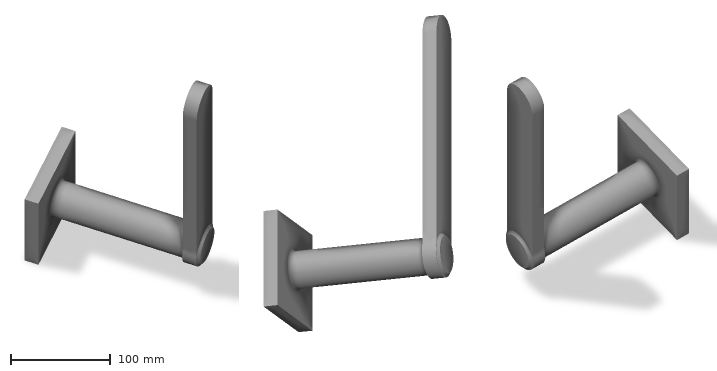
import cadquery as cq
import math

total_height = 300.0

plate_side = 100.0
plate_thickness = 15.0

post_diameter = 38.0
post_length = 145.0
post_base_fillet = 3.0
post_arm_fillet = 4.0

arm_width = 42.3
arm_thickness = 15.0
eye_margin = 1.85
neck_radius = 20.0
cap_height = 3.0

post_radius = post_diameter / 2
arm_half = arm_width / 2
eye_radius = arm_half + eye_margin
arm_top = total_height - plate_side / 2
arm_start = plate_thickness + post_length
arm_end = arm_start + arm_thickness


def make_plate():
    return cq.Workplane("YZ").rect(plate_side, plate_side).extrude(plate_thickness)


def make_post():
    """Post and end boss in one turned profile, with concave fillets at the plate and arm."""
    cap_end = arm_end + cap_height
    diagonal = 1 - math.sqrt(0.5)
    base, flare = post_base_fillet, post_arm_fillet
    profile = (
        cq.Workplane("XY")
        .moveTo(plate_thickness, 0)
        .lineTo(plate_thickness, post_radius + base)
        .threePointArc(
            (plate_thickness + base * diagonal, post_radius + base * diagonal),
            (plate_thickness + base, post_radius),
        )
        .lineTo(arm_start - flare, post_radius)
        .threePointArc(
            (arm_start - flare * diagonal, post_radius + flare * diagonal),
            (arm_start, post_radius + flare),
        )
        .lineTo(arm_end, post_radius + cap_height)
        .lineTo(cap_end, post_radius)
        .lineTo(cap_end, 0)
        .close()
    )
    return profile.revolve(360, (0, 0, 0), (1, 0, 0))


def make_arm():
    """Round-topped bar whose sides flow into the eye through concave neck arcs."""
    neck_y = arm_half + neck_radius
    center_distance = eye_radius + neck_radius
    neck_z = math.sqrt(center_distance**2 - neck_y**2)
    touch_y = neck_y * eye_radius / center_distance
    touch_z = neck_z * eye_radius / center_distance
    half_angle = math.atan2(neck_z, neck_y) / 2
    middle_y = neck_y - neck_radius * math.cos(half_angle)
    middle_z = neck_z - neck_radius * math.sin(half_angle)
    shoulder_z = arm_top - arm_half
    return (
        cq.Workplane("YZ", origin=(arm_start, 0, 0))
        .moveTo(-touch_y, touch_z)
        .threePointArc((0, -eye_radius), (touch_y, touch_z))
        .threePointArc((middle_y, middle_z), (arm_half, neck_z))
        .lineTo(arm_half, shoulder_z)
        .threePointArc((0, arm_top), (-arm_half, shoulder_z))
        .lineTo(-arm_half, neck_z)
        .threePointArc((-middle_y, middle_z), (-touch_y, touch_z))
        .close()
        .extrude(arm_thickness)
    )


result = make_plate().union(make_post()).union(make_arm())